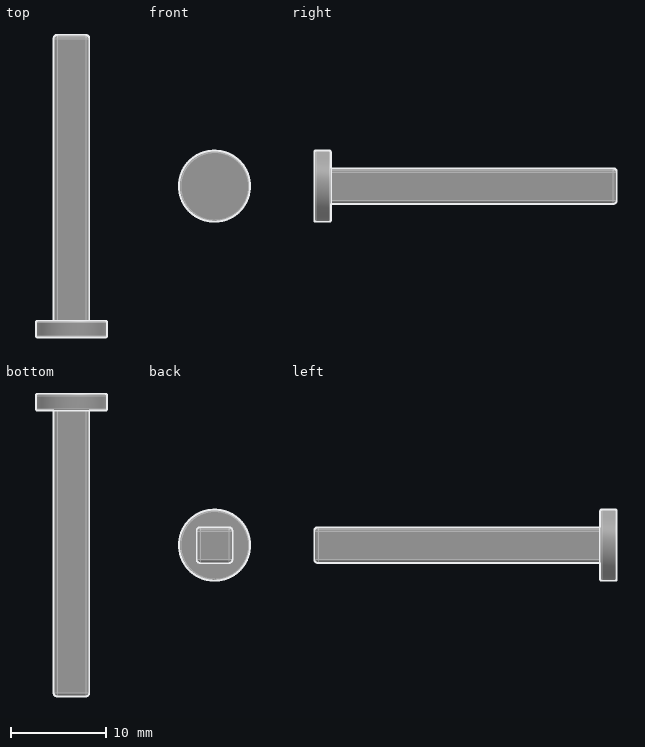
import cadquery as cq

total_length = 31.8
head_diameter = 7.5
head_thickness = 1.78
head_edge_radius = 0.2
shank_width = 3.8
shank_edge_radius = 0.4

shank_length = total_length - head_thickness
head_front_y = -total_length / 2
shank_start_y = head_front_y + head_thickness


def plane_facing_rear(y):
    """XZ plane at the given Y whose normal points along +Y."""
    return cq.Plane(origin=(0, y, 0), xDir=(1, 0, 0), normal=(0, 1, 0))


def make_head():
    """Round disc with both rims rounded."""
    disc = cq.Workplane(plane_facing_rear(head_front_y)).circle(head_diameter / 2).extrude(head_thickness)
    return disc.faces("<Y or >Y").edges().fillet(head_edge_radius)


def make_shank():
    """Square bar with rounded long edges and a rounded free end."""
    bar = cq.Workplane(plane_facing_rear(shank_start_y)).rect(shank_width, shank_width).extrude(shank_length)
    return bar.edges("|Y or >Y").fillet(shank_edge_radius)


result = make_head().union(make_shank())